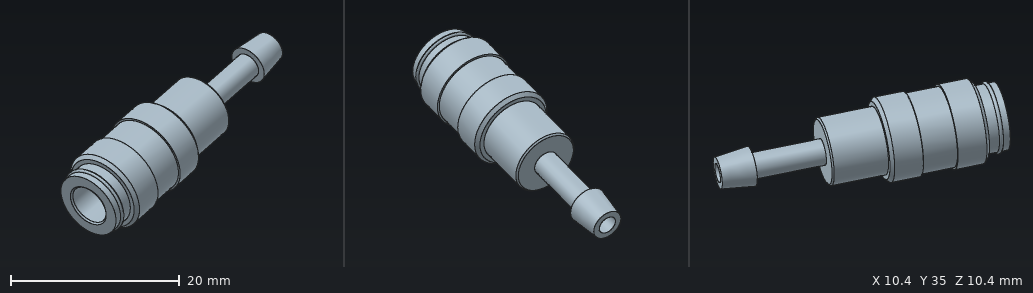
import cadquery as cq

total_length = 35.0
bead_center = 1.12
collars_start = 2.75
groove_start = 6.8
groove_end = 11.05
collars_end = 15.1
body_end = 22.0
barb_start = 30.8

collar_radius = 10.4 / 2
groove_radius = 4.95
body_radius = 4.15
stem_radius = 1.6
barb_radius = 2.45
barb_tip_radius = 1.95

collar_chamfer = 0.45
body_chamfer = 0.2
bead_radius = 0.25

socket_radius = 2.5
socket_chamfer = 0.2
socket_depth = collars_end
passage_radius = 1.15


def make_outer_body():
    """Revolve the outer half profile, from the mouth to the barb tip."""
    profile = (
        cq.Workplane("XY")
        .lineTo(body_radius, 0)
        .lineTo(body_radius, bead_center - bead_radius)
        .threePointArc(
            (body_radius + bead_radius, bead_center),
            (body_radius, bead_center + bead_radius),
        )
        .lineTo(body_radius, collars_start)
        .lineTo(collar_radius - collar_chamfer, collars_start)
        .lineTo(collar_radius, collars_start + collar_chamfer)
        .lineTo(collar_radius, groove_start)
        .lineTo(groove_radius, groove_start)
        .lineTo(groove_radius, groove_end)
        .lineTo(collar_radius, groove_end)
        .lineTo(collar_radius, collars_end - collar_chamfer)
        .lineTo(collar_radius - collar_chamfer, collars_end)
        .lineTo(body_radius, collars_end)
        .lineTo(body_radius, body_end - body_chamfer)
        .lineTo(body_radius - body_chamfer, body_end)
        .lineTo(stem_radius, body_end)
        .lineTo(stem_radius, barb_start)
        .lineTo(barb_radius, barb_start)
        .lineTo(barb_tip_radius, total_length)
        .lineTo(0, total_length)
        .close()
    )
    return profile.revolve(360, (0, 0, 0), (0, 1, 0))


def make_passage():
    """Revolve the chamfered socket and the narrow hole behind it."""
    profile = (
        cq.Workplane("XY")
        .lineTo(socket_radius + socket_chamfer, 0)
        .lineTo(socket_radius, socket_chamfer)
        .lineTo(socket_radius, socket_depth)
        .lineTo(passage_radius, socket_depth)
        .lineTo(passage_radius, total_length)
        .lineTo(0, total_length)
        .close()
    )
    return profile.revolve(360, (0, 0, 0), (0, 1, 0))


result = make_outer_body().cut(make_passage())